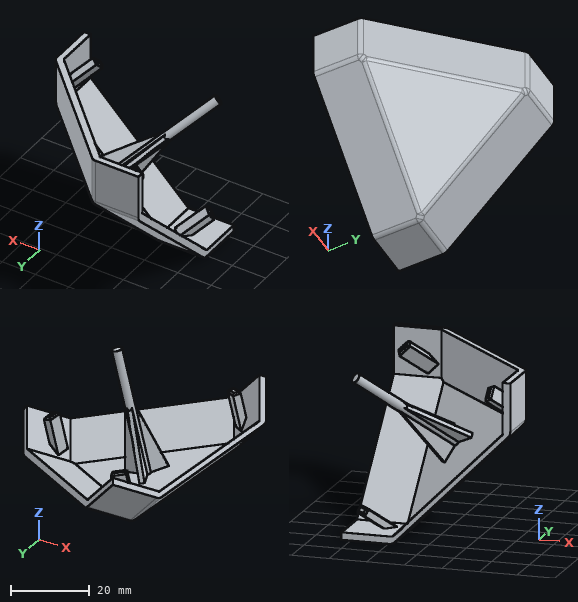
import cadquery as cq
import math

SIZE = 45.0
WALL = 2.02
EDGE_CUT = 58.7
INNER_EDGE_CUT = 55.7
INNER_XZ_CUT = 56.55
INNER_FLOOR_SUM = 69.25
OUTER_FLOOR_SUM = INNER_FLOOR_SUM + WALL * math.sqrt(3)

POST_RADIUS = 1.4
POST_START = 5.0
FLOOR_DEPTH = INNER_FLOOR_SUM / math.sqrt(3)
ROOT_DEPTH = FLOOR_DEPTH + WALL / 2

FIN_WIDTH = 1.35
FIN_START = 21.82
FIN_REACH = 6.2

PEG_WIDTH = 3.95
PEG_THICKNESS = 2.1
PEG_CHAMFER = 0.5
PEG_OFFSET = 27.55
PEG_START = 26.65

DIAGONAL = cq.Vector(1, 1, -1)
SPOKE = cq.Vector(2, -1, 1)
SPOKE_ANGLES = (0, 120, 240)


def beyond(direction, depth_sum):
    """Block holding everything where the depths along direction exceed depth_sum."""
    normal = cq.Vector(*direction)
    origin = normal * (depth_sum / normal.dot(normal))
    plane = cq.Plane(origin, normal=normal)
    return cq.Workplane(plane).rect(4 * SIZE, 4 * SIZE).extrude(2 * SIZE)


def corner_block(side, side_cut, xz_cut, floor_sum):
    """Cube at the origin with its far edges and far corner sliced away."""
    block = cq.Workplane("XY").box(side, side, side, centered=False).translate((0, 0, -side))
    block = block.cut(beyond((1, 1, 0), side_cut))
    block = block.cut(beyond((0, 1, -1), side_cut))
    block = block.cut(beyond((1, 0, -1), xz_cut))
    return block.cut(beyond((1, 1, -1), floor_sum))


def diagonal_plane(depth, angle=0.0):
    """Plane square to the diagonal, its local X turned to the given spoke."""
    origin = DIAGONAL.normalized() * depth
    return cq.Plane(origin, xDir=SPOKE, normal=DIAGONAL).rotated((0, 0, angle))


def fin(angle):
    """Triangular plate along one spoke, widening from the post axis down into the floor."""
    flare = (FIN_REACH - POST_RADIUS) / (FLOOR_DEPTH - FIN_START)
    apex = FIN_START - POST_RADIUS / flare
    root_reach = flare * (ROOT_DEPTH - apex)
    base = diagonal_plane(0, angle)
    side = cq.Plane(base.origin, xDir=base.xDir, normal=base.xDir.cross(base.zDir))
    profile = [(0, apex), (root_reach, ROOT_DEPTH), (0, ROOT_DEPTH)]
    return cq.Workplane(side).polyline(profile).close().extrude(FIN_WIDTH / 2, both=True)


def peg(angle):
    """Bar parallel to the diagonal with a chamfered tip, running on past the wall."""
    bar = cq.Workplane(diagonal_plane(PEG_START, angle)).center(PEG_OFFSET, 0)
    bar = bar.rect(PEG_THICKNESS, PEG_WIDTH).extrude(SIZE)
    tip = cq.selectors.DirectionMinMaxSelector(DIAGONAL, False)
    return bar.faces(tip).chamfer(PEG_CHAMFER)


outer = corner_block(SIZE, EDGE_CUT, EDGE_CUT, OUTER_FLOOR_SUM)
closed_edges = cq.selectors.BoxSelector((WALL, WALL, -WALL), (2 * SIZE, 2 * SIZE, -2 * SIZE))
outer = outer.edges(closed_edges).fillet(WALL)
cavity = corner_block(SIZE - WALL, INNER_EDGE_CUT, INNER_XZ_CUT, INNER_FLOOR_SUM)

result = outer.cut(cavity)
post = cq.Workplane(diagonal_plane(POST_START)).circle(POST_RADIUS).extrude(ROOT_DEPTH - POST_START)
result = result.union(post)
for spoke_angle in SPOKE_ANGLES:
    result = result.union(fin(spoke_angle))
    result = result.union(peg(spoke_angle).intersect(outer))